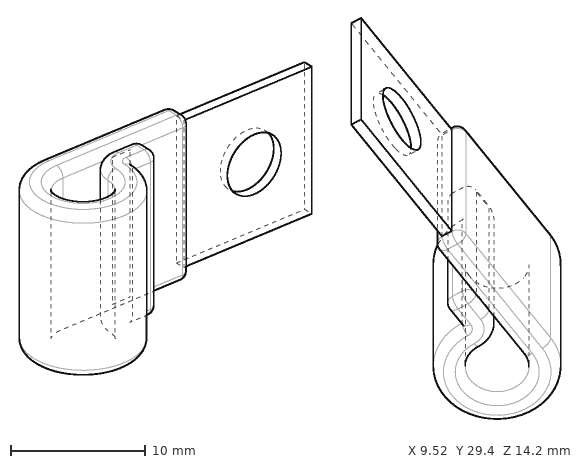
import cadquery as cq


total_length = 29.35
height = 14.23
wall = 2.38
strap_thickness = 0.88
loop_bore_radius = 2.38
cushion_end_y = 12.25
tip_length = 2.45
hole_diameter = 5.15
hole_y = 19.05

edge_radius = (wall - strap_thickness) / 2
strap_height = height - 2 * edge_radius
loop_outer_radius = loop_bore_radius + wall
loop_mid_radius = loop_bore_radius + wall / 2
strap_end_y = total_length - loop_outer_radius
hook_mid_radius = wall / 2
loop_sweep = 270
hook_sweep = 90


def cushion_section(center_x):
    """Rounded cross-section of the cushion in the XZ plane."""
    return (
        cq.Sketch()
        .push([(center_x, 0)])
        .rect(wall, height)
        .reset()
        .vertices()
        .fillet(edge_radius)
    )


def straight_cushion(center_x, start_y, length):
    """Straight run along +Y, rounded along its sides and at its far end."""
    return (
        cq.Workplane("XY")
        .box(wall, length, height, centered=(True, False, True))
        .edges("not <Y")
        .fillet(edge_radius)
        .translate((center_x, start_y, 0))
    )


def curved_cushion(center_x, center_y, mid_radius, sweep):
    """Bend about a vertical axis, counterclockwise from its -X side."""
    return (
        cq.Workplane("XZ")
        .placeSketch(cushion_section(-mid_radius))
        .revolve(sweep, (0, 0, 0), (0, 1, 0))
        .translate((center_x, center_y, 0))
    )


leg = straight_cushion(-loop_mid_radius, 0, cushion_end_y)
loop = curved_cushion(0, 0, loop_mid_radius, loop_sweep)
hook = curved_cushion(0, loop_outer_radius, hook_mid_radius, hook_sweep)
tip = straight_cushion(-hook_mid_radius, loop_outer_radius, tip_length)

strap = (
    cq.Workplane("XY")
    .box(strap_thickness, strap_end_y, strap_height, centered=(True, False, True))
    .translate((-loop_mid_radius, 0, 0))
)

hole = (
    cq.Workplane("YZ")
    .center(hole_y, 0)
    .circle(hole_diameter / 2)
    .extrude(loop_outer_radius, both=True)
)

result = leg.union(loop).union(hook).union(tip).union(strap).cut(hole)